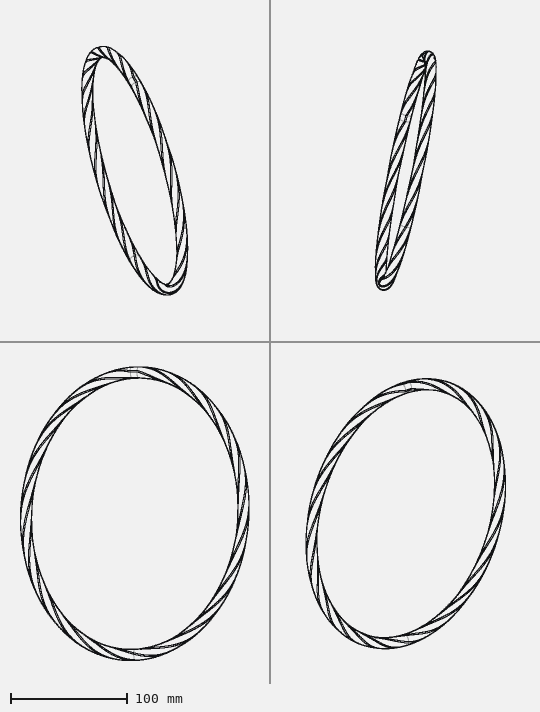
import cadquery as cq
import math

width = 200.0
height = 259.8
rod_diameter = 10.0

groove_count = 4
groove_radius = 0.65
turns_per_half = 3
collar_length = 6.0

guide_radius = 0.5
guide_points_per_turn = 32

rod_radius = rod_diameter / 2
semi_x = width / 2 - rod_radius
semi_z = height / 2 - rod_radius
collar_half_angle = math.asin(collar_length / 2 / semi_x)


def center_point(angle):
    """Point on the rod's centre line; angle runs from the top toward +X."""
    return cq.Vector(semi_x * math.sin(angle), 0, semi_z * math.cos(angle))


def tangent(angle):
    return cq.Vector(semi_x * math.cos(angle), 0, -semi_z * math.sin(angle)).normalized()


def center_line(start, end):
    """Elliptical arc of the rod's centre line between two angles."""
    return cq.Workplane(
        cq.Edge.makeEllipse(
            semi_z,
            semi_x,
            cq.Vector(0, 0, 0),
            cq.Vector(0, 1, 0),
            cq.Vector(0, 0, 1),
            math.degrees(start),
            math.degrees(end),
        )
    ).toPending()


def guide_curve(start, end, turns):
    """Curve winding closely around the centre line, starting on its front (-Y) side."""
    front = cq.Vector(0, -1, 0)
    steps = guide_points_per_turn * turns
    points = []
    for step in range(steps + 1):
        fraction = step / steps
        angle = start + (end - start) * fraction
        twist = 2 * math.pi * turns * fraction
        inward = tangent(angle).cross(front)
        offset = front * math.cos(twist) + inward * math.sin(twist)
        points.append(center_point(angle) + offset * guide_radius)
    return cq.Workplane().add(cq.Edge.makeSpline(points)).toPending()


def rod_section(angle):
    """Round rod section with half-round grooves, square to the centre line."""
    plane = cq.Plane(center_point(angle), cq.Vector(0, -1, 0), tangent(angle))
    grooves = cq.Sketch().parray(rod_radius, 0, 360, groove_count).circle(groove_radius)
    section = cq.Sketch().circle(rod_radius).face(grooves, mode="s")
    return cq.Workplane(plane).placeSketch(section)


def twisted_rod(start, end):
    path = center_line(start, end)
    guide = guide_curve(start, end, turns_per_half)
    return rod_section(start).sweep(path, auxSpine=guide)


def collar():
    path = center_line(-collar_half_angle, collar_half_angle)
    return rod_section(-collar_half_angle).sweep(path)


right_half = twisted_rod(collar_half_angle, math.pi)
left_half = twisted_rod(math.pi, 2 * math.pi - collar_half_angle)
result = right_half.union(left_half, glue=True).union(collar(), glue=True)